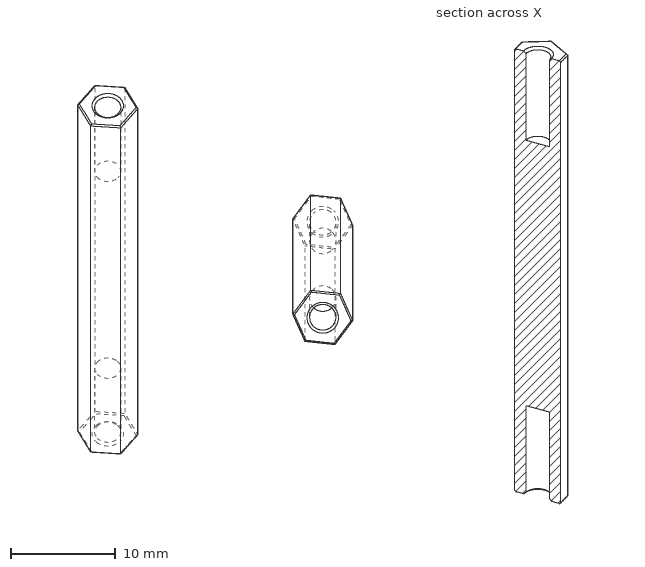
import cadquery as cq
import math

length = 50.0
across_flats = 5.0
edge_chamfer = 0.15

hole_diameter = 2.5
hole_mouth_diameter = 3.0
hole_depth = 10.0

across_corners = across_flats / math.cos(math.pi / 6)
hole_radius = hole_diameter / 2
mouth_radius = hole_mouth_diameter / 2
countersink_depth = mouth_radius - hole_radius


def hex_bar():
    """Hexagonal bar centred on the origin, with both end faces chamfered."""
    bar = cq.Workplane("XY").polygon(6, across_corners).extrude(length / 2, both=True)
    return bar.faces("|Z").edges().chamfer(edge_chamfer)


def top_hole():
    """Countersunk blind hole going down from the top face."""
    top = length / 2
    profile = [
        (0, top),
        (mouth_radius, top),
        (hole_radius, top - countersink_depth),
        (hole_radius, top - hole_depth),
        (0, top - hole_depth),
    ]
    return cq.Workplane("XZ").polyline(profile).close().revolve(360, (0, 0), (0, 1))


upper_hole = top_hole()
lower_hole = upper_hole.mirror("XY")
result = hex_bar().cut(upper_hole).cut(lower_hole)